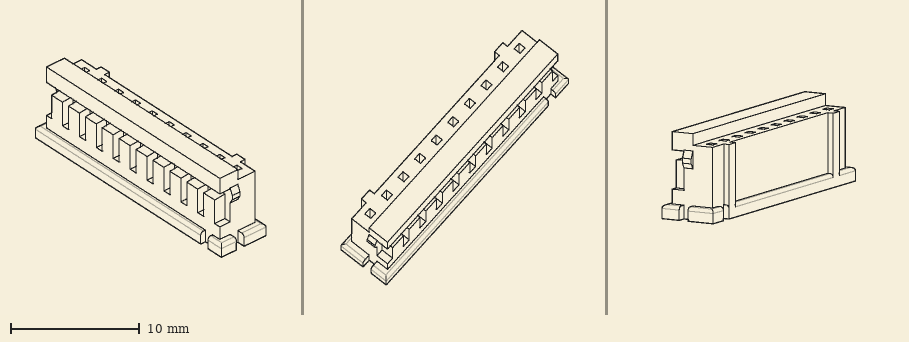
import cadquery as cq

length = 22.0
width = 4.6
height = 6.8

contact_count = 10
pitch = length / (contact_count + 1)

flange_height = 1.1
flange_round = 0.29
flange_side_overhang = 0.48
flange_gap_start_x = 8.55
flange_gap_end_x = 9.42

body_length = 20.53
body_width = width - 2 * flange_side_overhang
body_front_y = -body_width / 2
shoulder_height = 5.87

cap_bottom = 5.35
cap_back_y = 0.05

recess_wall_y = -0.75
recess_bottom = 2.27
tooth_width = 1.3
tooth_back_height = 4.55
tooth_front_height = 4.47

rib_width = 1.0
rib_center_x = 8.03

bump_reach = 0.25
bump_bottom = 4.03
bump_flat_bottom = 4.45
bump_flat_top = 4.85
bump_top = 5.43

hole_side = 0.6
hole_center_y = 1.0
hole_depth = 3.95


def box(x_range, y_range, z_range):
    """Axis-aligned box between the given limits."""
    sizes = [end - start for start, end in (x_range, y_range, z_range)]
    corner = (x_range[0], y_range[0], z_range[0])
    return cq.Workplane("XY").box(*sizes, centered=False).translate(corner)


def extrude_along_x(outline, x_length):
    """Solid of a (y, z) outline, centred on X = 0."""
    return cq.Workplane("YZ").polyline(outline).close().extrude(x_length / 2, both=True)


def make_flange():
    """Base plate with rounded top edges, split at both ends and near +X on each side."""
    plate = cq.Workplane("XY").box(length, width, flange_height, centered=(True, True, False))
    plate = plate.faces(">Z").edges().fillet(flange_round)
    z_range = (0, flange_height)
    end_gap = box((-length / 2, length / 2), (recess_wall_y, cap_back_y), z_range)
    side_gap = box((flange_gap_start_x, flange_gap_end_x), (-width / 2, width / 2), z_range)
    return plate.cut(end_gap).cut(side_gap)


def make_body():
    """Stepped block with the recess running along its front, under the cap."""
    outline = [
        (body_front_y, 0),
        (body_width / 2, 0),
        (body_width / 2, shoulder_height),
        (cap_back_y, shoulder_height),
        (cap_back_y, height),
        (body_front_y, height),
        (body_front_y, cap_bottom),
        (recess_wall_y, cap_bottom),
        (recess_wall_y, recess_bottom),
        (body_front_y, recess_bottom),
    ]
    return extrude_along_x(outline, body_length)


def make_tooth():
    """One tooth rising from the recess floor, its top sloping down to the front."""
    outline = [
        (body_front_y, recess_bottom),
        (recess_wall_y, recess_bottom),
        (recess_wall_y, tooth_back_height),
        (body_front_y, tooth_front_height),
    ]
    return extrude_along_x(outline, tooth_width)


def make_latch_bumps():
    """Matching bumps on both end faces, as one bar passing through the body."""
    root_x = body_length / 2
    tip_x = root_x + bump_reach
    right_side = [
        (root_x, bump_bottom),
        (tip_x, bump_flat_bottom),
        (tip_x, bump_flat_top),
        (root_x, bump_top),
    ]
    left_side = [(-x, z) for x, z in reversed(right_side)]
    profile = cq.Workplane("XZ", origin=(0, cap_back_y, 0)).polyline(right_side + left_side)
    return profile.close().extrude(cap_back_y - recess_wall_y)


def make_rib(center_x):
    """Full-height rib on the back, flush with the flange edge."""
    x_range = (center_x - rib_width / 2, center_x + rib_width / 2)
    return box(x_range, (0, width / 2), (0, shoulder_height))


contact_xs = [(i - (contact_count - 1) / 2) * pitch for i in range(contact_count)]

result = make_body().union(make_flange()).union(make_latch_bumps())

for rib_x in (-rib_center_x, rib_center_x):
    result = result.union(make_rib(rib_x))

for contact_x in contact_xs:
    result = result.union(make_tooth().translate((contact_x, 0, 0)))

holes = (
    cq.Workplane("XY", origin=(0, 0, shoulder_height))
    .pushPoints([(contact_x, hole_center_y) for contact_x in contact_xs])
    .rect(hole_side, hole_side)
    .extrude(-hole_depth)
)
result = result.cut(holes)